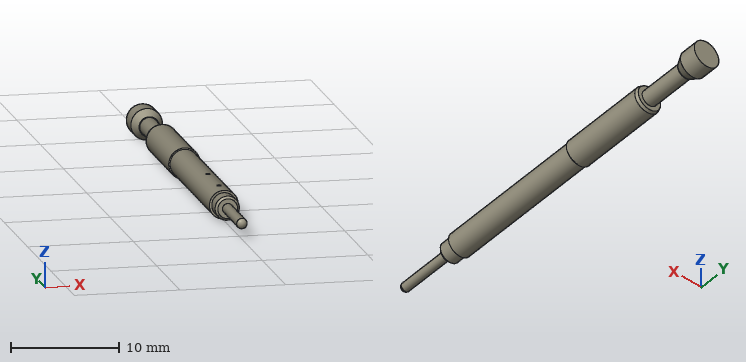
import cadquery as cq
import math

length = 43.3
head_end = 2.0
flare_end = 3.05
collar_start = 8.15
collar_end = 18.25
sleeve_end = 35.15
tail_end = 36.8

head_diameter = 3.0
flare_diameter = 1.9
stem_diameter = 1.78
sleeve_diameter = 2.73
tail_diameter = 2.3
pin_diameter = 1.0

collar_chamfer_length = 0.35
collar_chamfer_depth = 0.15
tail_chamfer = 0.2
pin_dome_height = 0.4

dimple_diameter = 0.4
dimple_depth = 0.15
dimple_stations = (28.35, 33.05)

front_y = length / 2


def at(station, diameter):
    """Point of the half profile: radius along X, position along Y."""
    return (diameter / 2, front_y - station)


def make_probe():
    """Revolve the stepped half profile about the Y axis."""
    dome_start = length - pin_dome_height
    pin_radius = pin_diameter / 2
    dome_radius = (pin_radius**2 + pin_dome_height**2) / (2 * pin_dome_height)
    mid_diameter = pin_radius
    mid_drop = dome_radius - math.sqrt(dome_radius**2 - (mid_diameter / 2) ** 2)
    return (
        cq.Workplane("XY")
        .moveTo(*at(0, 0))
        .lineTo(*at(0, head_diameter))
        .lineTo(*at(head_end, head_diameter))
        .lineTo(*at(flare_end, flare_diameter))
        .lineTo(*at(flare_end, stem_diameter))
        .lineTo(*at(collar_start, stem_diameter))
        .lineTo(*at(collar_start, head_diameter - 2 * collar_chamfer_depth))
        .lineTo(*at(collar_start + collar_chamfer_length, head_diameter))
        .lineTo(*at(collar_end, head_diameter))
        .lineTo(*at(collar_end, sleeve_diameter))
        .lineTo(*at(sleeve_end, sleeve_diameter))
        .lineTo(*at(sleeve_end, tail_diameter))
        .lineTo(*at(tail_end - tail_chamfer, tail_diameter))
        .lineTo(*at(tail_end, tail_diameter - 2 * tail_chamfer))
        .lineTo(*at(tail_end, pin_diameter))
        .lineTo(*at(dome_start, pin_diameter))
        .threePointArc(at(length - mid_drop, mid_diameter), at(length, 0))
        .close()
        .revolve(360, (0, 0, 0), (0, 1, 0))
    )


def make_dimples():
    """Cutters for the small round blind holes entering from the top of the sleeve."""
    return (
        cq.Workplane("XY")
        .workplane(offset=sleeve_diameter / 2 - dimple_depth)
        .pushPoints([(0, front_y - station) for station in dimple_stations])
        .circle(dimple_diameter / 2)
        .extrude(2 * dimple_depth)
    )


result = make_probe().cut(make_dimples())